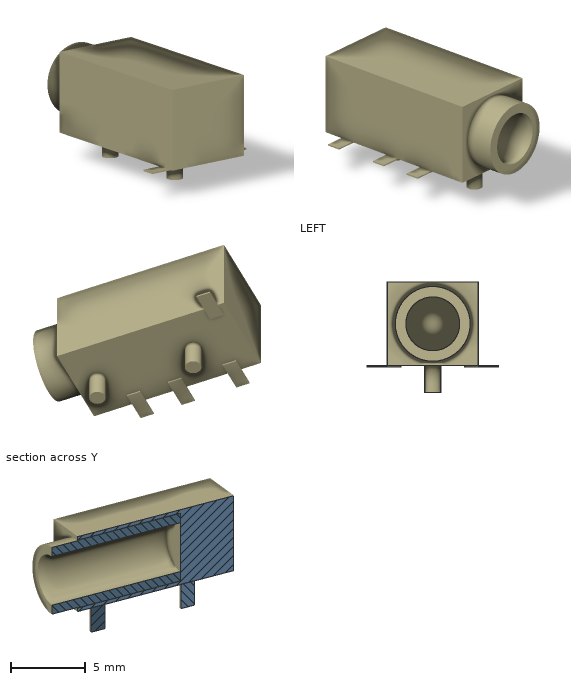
import cadquery as cq


housing_length = 12.2
housing_width = 6.1
housing_height = 5.6
housing_side = housing_width / 2
axis_height = housing_height / 2

barrel_projection = 2.0
barrel_length = 10.0
barrel_diameter = 5.0
bore_diameter = 3.6
socket_depth = barrel_length - barrel_projection

peg_diameter = 1.1
peg_length = 1.8
first_peg_x = 1.6
peg_spacing = 7.0
peg_positions = [first_peg_x, first_peg_x + peg_spacing]

tab_width = 0.97
tab_length = 2.25
tab_thickness = 0.1
tab_overhang = 1.33
left_tab_positions = [3.3, 6.3, 10.3]
right_tab_position = left_tab_positions[-1] + tab_width
tab_centre_y = housing_side + tab_overhang - tab_length / 2


def make_housing():
    """Rectangular block with a blind round socket that holds the barrel."""
    block = cq.Workplane("XY").box(
        housing_length, housing_width, housing_height, centered=(False, True, False)
    )
    socket = (
        cq.Workplane("YZ")
        .center(0, axis_height)
        .circle(barrel_diameter / 2)
        .extrude(socket_depth)
    )
    return block.cut(socket)


def make_barrel():
    """Round sleeve filling the socket and projecting from the housing's front face."""
    return (
        cq.Workplane("YZ", origin=(-barrel_projection, 0, axis_height))
        .circle(barrel_diameter / 2)
        .circle(bore_diameter / 2)
        .extrude(barrel_length)
    )


def make_peg(x):
    """Round locating peg hanging from the underside on the centre line."""
    return cq.Workplane("XY").center(x, 0).circle(peg_diameter / 2).extrude(-peg_length)


def make_tab(x, side):
    """Flat solder tab reaching out past the +Y (side = 1) or -Y (side = -1) wall."""
    return (
        cq.Workplane("XY")
        .center(x, side * tab_centre_y)
        .rect(tab_width, tab_length)
        .extrude(-tab_thickness)
    )


housing = make_housing()
barrel = make_barrel()
pegs = [make_peg(x) for x in peg_positions]
tabs = [make_tab(x, 1) for x in left_tab_positions]
tabs.append(make_tab(right_tab_position, -1))

bodies = [housing, barrel, *pegs, *tabs]
result = cq.Compound.makeCompound([body.val() for body in bodies])